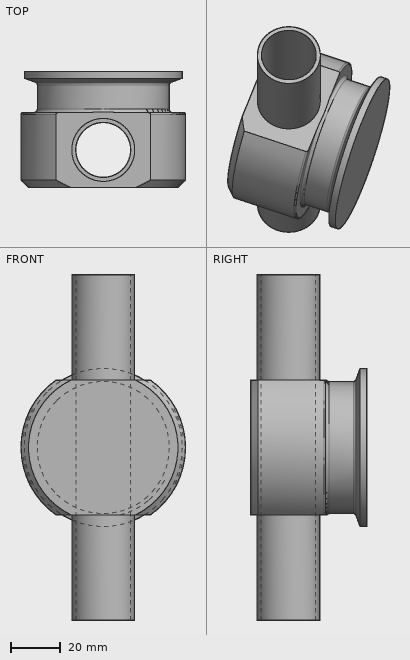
import cadquery as cq
import math

overall_depth = 47.0
tube_length = 139.7

body_diameter = 66.5
body_depth = 30.3
front_chamfer = 3.1
back_edge_radius = 0.7
flat_spacing = 54.5

neck_diameter = 53.4
neck_fillet_radius = 1.4
flange_diameter = 63.8
flange_rim_thickness = 2.8
flange_slope_angle = 20.0
flange_fillet_radius = 1.1

tube_outer_diameter = 25.4
tube_inner_diameter = 22.1
tube_axis_y = 15.2

body_radius = body_diameter / 2
neck_radius = neck_diameter / 2
flange_radius = flange_diameter / 2


def fillet_middle(centre_x, centre_y, radius, start_angle, end_angle):
    """Point halfway along a fillet arc, with angles in degrees."""
    angle = math.radians((start_angle + end_angle) / 2)
    return centre_x + radius * math.cos(angle), centre_y + radius * math.sin(angle)


def turned_housing():
    """Body, neck and flange as one solid of revolution about Y."""
    slope = math.radians(flange_slope_angle)
    flange_rim_y = overall_depth - flange_rim_thickness

    neck_fillet_x = neck_radius + neck_fillet_radius
    neck_fillet_y = body_depth + neck_fillet_radius
    neck_fillet_middle = fillet_middle(neck_fillet_x, neck_fillet_y, neck_fillet_radius, 180, 270)

    back_edge_x = body_radius - back_edge_radius
    back_edge_y = body_depth - back_edge_radius
    back_edge_middle = fillet_middle(back_edge_x, back_edge_y, back_edge_radius, 0, 90)

    slope_foot_y = flange_rim_y - (flange_radius - neck_radius) * math.tan(slope)
    flange_tangent = flange_fillet_radius * math.tan((math.pi / 2 - slope) / 2)
    flange_fillet_x = neck_radius + flange_fillet_radius
    flange_fillet_y = slope_foot_y - flange_tangent
    flange_fillet_middle = fillet_middle(
        flange_fillet_x, flange_fillet_y, flange_fillet_radius, 180, 90 + flange_slope_angle
    )
    flange_fillet_end = (
        neck_radius + flange_tangent * math.cos(slope),
        slope_foot_y + flange_tangent * math.sin(slope),
    )

    profile = (
        cq.Workplane("XY")
        .lineTo(body_radius - front_chamfer, 0)
        .lineTo(body_radius, front_chamfer)
        .lineTo(body_radius, back_edge_y)
        .threePointArc(back_edge_middle, (back_edge_x, body_depth))
        .lineTo(neck_fillet_x, body_depth)
        .threePointArc(neck_fillet_middle, (neck_radius, neck_fillet_y))
        .lineTo(neck_radius, flange_fillet_y)
        .threePointArc(flange_fillet_middle, flange_fillet_end)
        .lineTo(flange_radius, flange_rim_y)
        .lineTo(flange_radius, overall_depth)
        .lineTo(0, overall_depth)
        .close()
    )
    return profile.revolve(360, (0, 0, 0), (0, 1, 0))


def cut_flats(housing):
    """Flats on the top and bottom of the body, running out over the neck fillet."""
    flat_end_y = body_depth + neck_fillet_radius
    cut_height = body_radius
    for side in (1, -1):
        waste = cq.Workplane("XY").box(
            body_diameter, flat_end_y, cut_height, centered=(True, False, True)
        )
        housing = housing.cut(waste.translate((0, 0, side * (flat_spacing + cut_height) / 2)))
    return housing


def tube_cylinder(diameter):
    """Full-length cylinder on the tube axis."""
    return (
        cq.Workplane("XY", origin=(0, tube_axis_y, -tube_length / 2))
        .circle(diameter / 2)
        .extrude(tube_length)
    )


housing = cut_flats(turned_housing())
result = housing.union(tube_cylinder(tube_outer_diameter)).cut(tube_cylinder(tube_inner_diameter))